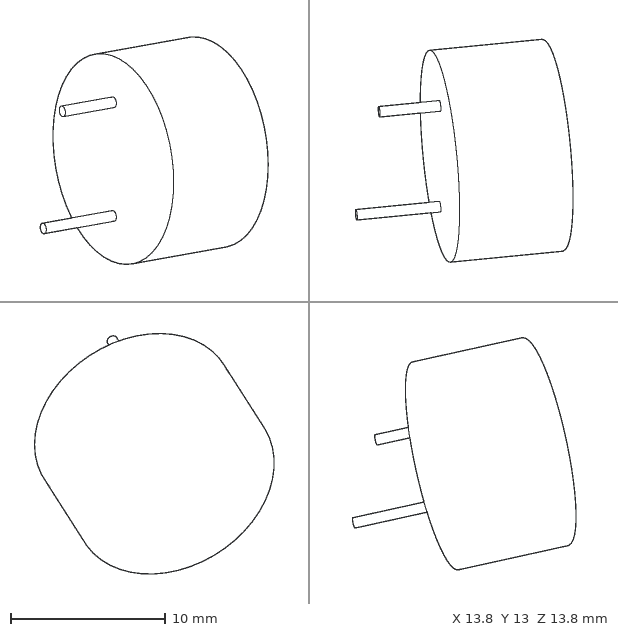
import cadquery as cq

body_diameter = 13.8
body_depth = 7.5
rim_fillet = 0.15
pin_diameter = 0.7
pin_spacing = 7.62
upper_pin_length = 4.0
lower_pin_length = 5.5


def make_body():
    """Cylinder along Y, pin face at Y = 0, with the far rim rounded."""
    body = cq.Workplane("XZ").circle(body_diameter / 2).extrude(-body_depth)
    return body.faces(">Y").edges().fillet(rim_fillet)


def make_pin(height, length):
    """Round pin standing out of the pin face toward -Y."""
    return cq.Workplane("XZ").center(0, height).circle(pin_diameter / 2).extrude(length)


result = make_body()
for height, length in (
    (pin_spacing / 2, upper_pin_length),
    (-pin_spacing / 2, lower_pin_length),
):
    result = result.union(make_pin(height, length))